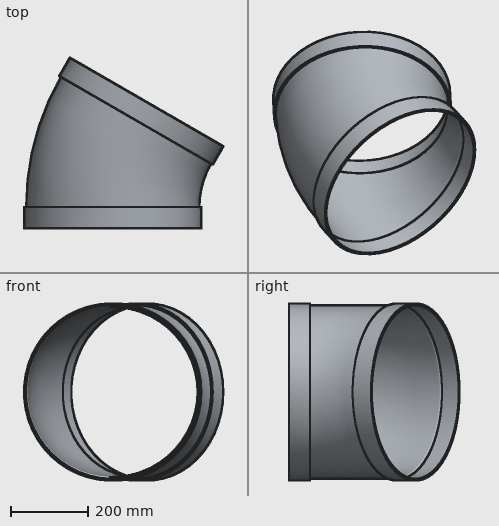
import cadquery as cq
import math

bend_angle = 30.0
bend_radius = 450.0
bend_diameter = 450.0
collar_diameter = 460.0
collar_length = 55.0
wall = 5.0
bend_bore = bend_diameter - 2 * wall
collar_bore = collar_diameter - 2 * wall
lip_radius = (collar_bore - bend_bore) / 2

angle = math.radians(bend_angle)
end_x = bend_radius * (1 - math.cos(angle))
end_y = bend_radius * math.sin(angle)

inlet_plane = cq.Plane(origin=(0, 0, 0), xDir=(1, 0, 0), normal=(0, -1, 0))
outlet_plane = cq.Plane(
    origin=(end_x, end_y, 0),
    xDir=(math.cos(angle), -math.sin(angle), 0),
    normal=(math.sin(angle), math.cos(angle), 0),
)


def curved_rod(diameter):
    """Solid round rod swept through the bend angle about an axis parallel to Z."""
    section = cq.Workplane(inlet_plane).circle(diameter / 2)
    return section.revolve(bend_angle, (bend_radius, 0), (bend_radius, -1))


def collar(plane):
    """Solid collar standing on one end of the bend."""
    return cq.Workplane(plane).circle(collar_diameter / 2).extrude(collar_length)


def socket_cutter(plane):
    """Cavity of one collar: a straight socket whose inner end rounds smoothly into the bend bore."""
    bend_bore_radius = bend_bore / 2
    socket_radius = collar_bore / 2
    arc_rise = lip_radius * math.sin(math.pi / 4)
    lip_middle = (socket_radius - arc_rise, arc_rise)
    axial_plane = cq.Plane(origin=plane.origin, xDir=plane.xDir, normal=plane.xDir.cross(plane.zDir))
    half_section = (
        cq.Workplane(axial_plane)
        .lineTo(bend_bore_radius, 0)
        .threePointArc(lip_middle, (socket_radius, lip_radius))
        .lineTo(socket_radius, collar_length)
        .lineTo(0, collar_length)
        .close()
    )
    return half_section.revolve(360, (0, 0), (0, 1))


def hollow_elbow():
    """Thin-walled bend with a socket collar at each end."""
    end_planes = (inlet_plane, outlet_plane)
    body = curved_rod(bend_diameter)
    for plane in end_planes:
        body = body.union(collar(plane))
    body = body.cut(curved_rod(bend_bore))
    for plane in end_planes:
        body = body.cut(socket_cutter(plane))
    return body


result = hollow_elbow()